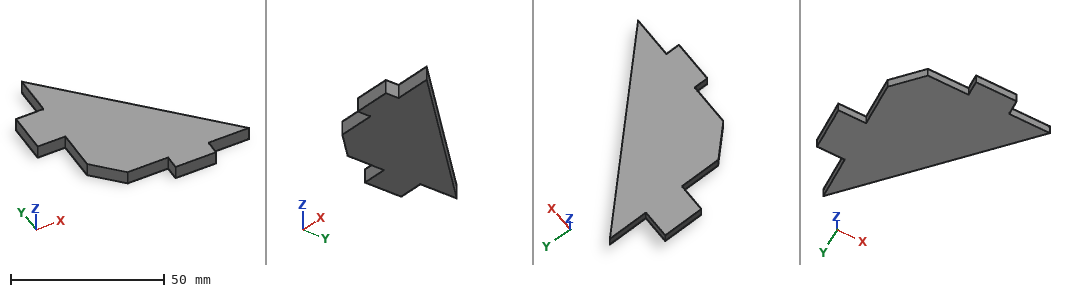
import cadquery as cq

length = 65.0
width = 60.0
thickness = 5.0

left_tab_depth = 10.2
stretch = 15.0
leg = length - left_tab_depth
front_tab_depth = width - leg
corner_cut = leg - 3 * stretch

tab_start = corner_cut + stretch
tab_end = tab_start + stretch

outline = [
    (corner_cut, 0),
    (tab_start, 0),
    (tab_start, -front_tab_depth),
    (tab_end, -front_tab_depth),
    (tab_end, 0),
    (leg, 0),
    (0, leg),
    (0, tab_end),
    (-left_tab_depth, tab_end),
    (-left_tab_depth, tab_start),
    (0, tab_start),
    (0, corner_cut),
]

result = cq.Workplane("XY").polyline(outline).close().extrude(thickness)